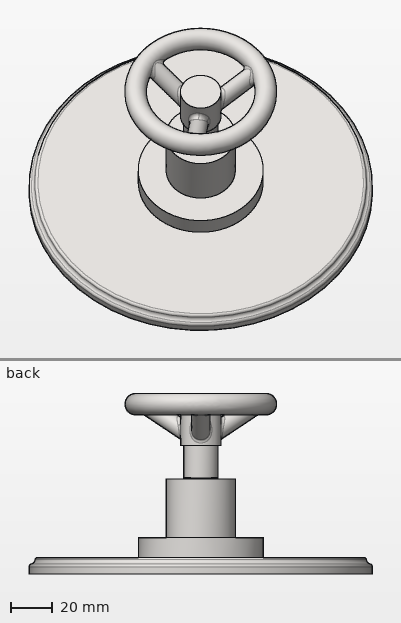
import cadquery as cq
import math

PLATE_RADIUS = 82.5
PLATE_HEIGHT = 8.0
RIM_WALL_TOP = 3.5
OGEE_RADIUS = 81.4
OGEE_HEIGHT = 5.0
COVE_RADIUS = 79.7
COVE_HEIGHT = 7.0
TOP_FACE_RADIUS = 78.3
TOP_ROUND = 1.3

FLANGE_RADIUS = 30.0
FLANGE_TOP = 17.5
BARREL_RADIUS = 16.7
BARREL_TOP = 45.7
NECK_RADIUS = 5.0
NECK_HEIGHT = 0.5
STEM_RADIUS = 8.3
HUB_BOTTOM = 61.7
HUB_RADIUS = 9.7

TOTAL_HEIGHT = 86.8
WHEEL_OUTER_RADIUS = 36.5
TUBE_DIAMETER = 10.4
TUBE_RADIUS = TUBE_DIAMETER / 2
RING_RADIUS = WHEEL_OUTER_RADIUS - TUBE_RADIUS
RING_HEIGHT = TOTAL_HEIGHT - TUBE_RADIUS
SPOKE_COUNT = 3
SPOKE_RADIUS = 4.5
SPOKE_SLOPE = 30.0
SPOKE_START_RADIUS = 5.0
FIRST_SPOKE_ANGLE = 90.0
SPOKE_FILLET = 1.8


def base_plate():
    """Disc whose rim rises through a convex round, a cove and a top round."""
    profile = (
        cq.Workplane("XZ")
        .lineTo(PLATE_RADIUS, 0)
        .lineTo(PLATE_RADIUS, RIM_WALL_TOP)
        .tangentArcPoint((OGEE_RADIUS, OGEE_HEIGHT), relative=False)
        .tangentArcPoint((COVE_RADIUS, COVE_HEIGHT), relative=False)
        .radiusArc((TOP_FACE_RADIUS, PLATE_HEIGHT), -TOP_ROUND)
        .lineTo(0, PLATE_HEIGHT)
        .close()
    )
    return profile.revolve(360, (0, 0, 0), (0, 1, 0))


def cylinder(radius, bottom, top):
    """Cylinder on the Z axis between two heights."""
    return cq.Workplane("XY").workplane(offset=bottom).circle(radius).extrude(top - bottom)


def ring():
    """Round-section rim of the handwheel."""
    torus = cq.Solid.makeTorus(RING_RADIUS, TUBE_RADIUS, cq.Vector(0, 0, RING_HEIGHT))
    return cq.Workplane(obj=torus)


def spoke(angle):
    """Round bar climbing from inside the hub to the centre of the ring tube."""
    reach = RING_RADIUS - SPOKE_START_RADIUS
    rise = reach * math.tan(math.radians(SPOKE_SLOPE))
    length = reach / math.cos(math.radians(SPOKE_SLOPE))
    start = cq.Vector(SPOKE_START_RADIUS, 0, RING_HEIGHT - rise)
    direction = cq.Vector(reach, 0, rise)
    bar = cq.Solid.makeCylinder(SPOKE_RADIUS, length, start, direction)
    return cq.Workplane(obj=bar).rotate((0, 0, 0), (0, 0, 1), angle)


def handwheel():
    """Hub, ring and spokes, with fillets where the spokes meet hub and ring."""
    wheel = cylinder(HUB_RADIUS, HUB_BOTTOM, RING_HEIGHT)
    spokes = [spoke(FIRST_SPOKE_ANGLE + index * 360 / SPOKE_COUNT) for index in range(SPOKE_COUNT)]
    for member in spokes + [ring()]:
        wheel = wheel.union(member, clean=False)
    joints = [edge for edge in wheel.edges().vals() if edge.geomType() == "BSPLINE"]
    return wheel.newObject(joints).fillet(SPOKE_FILLET)


stem_bottom = BARREL_TOP + NECK_HEIGHT
result = (
    base_plate()
    .union(cylinder(FLANGE_RADIUS, PLATE_HEIGHT, FLANGE_TOP))
    .union(cylinder(BARREL_RADIUS, FLANGE_TOP, BARREL_TOP))
    .union(cylinder(NECK_RADIUS, BARREL_TOP, stem_bottom))
    .union(cylinder(STEM_RADIUS, stem_bottom, HUB_BOTTOM))
    .union(handwheel(), clean=False)
)